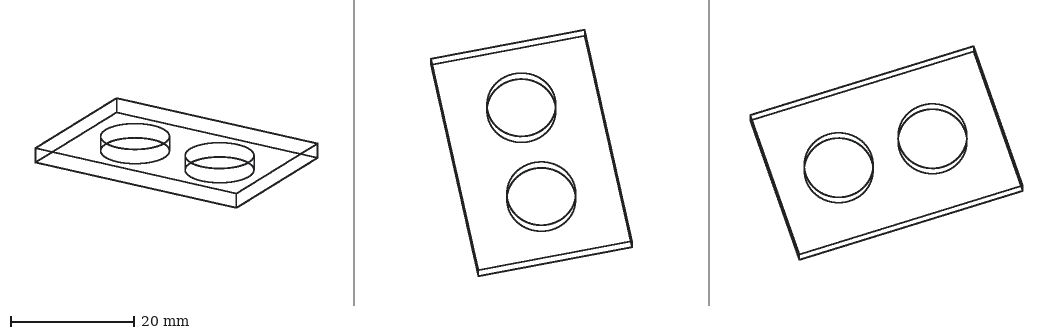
import cadquery as cq

length = 38.1
width = 25.4
thickness = 2.5

hole_diameter = 11.15
hole_spacing = 16.0
hole_pair_shift = 0.15

plate = cq.Workplane("XY").box(length, width, thickness)

result = (
    plate.faces(">Z")
    .workplane()
    .center(hole_pair_shift, 0)
    .rarray(hole_spacing, 0.4, 2, 1)
    .hole(hole_diameter)
)